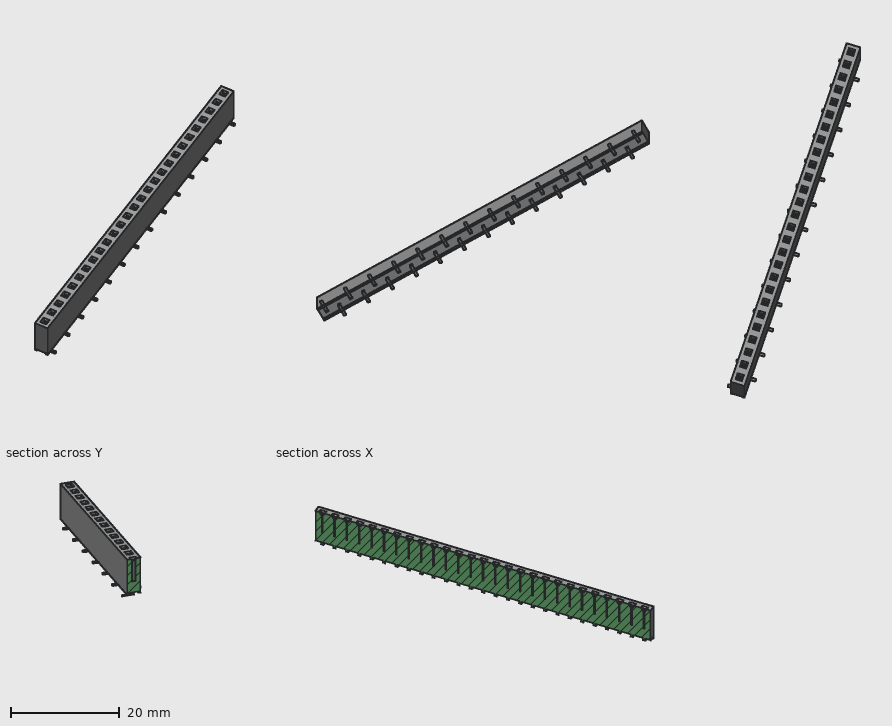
import cadquery as cq

pin_count = 27
row_length = 66.0

body_length = 68.8
body_width = 2.7
total_height = 7.4
standoff = 0.2
groove_width = 1.9
groove_depth = 0.3

entry_size = 1.25
bore_size = 0.6
bore_depth = 0.2
slit_width = 0.15
slit_depth = 4.1

lead_span = 4.6
lead_width = 0.515
lead_thickness = 0.2
tip_chamfer = 0.1
embed_depth = 0.35

pin_pitch = row_length / (pin_count - 1)
funnel_depth = (entry_size - bore_size) / 2
groove_top = standoff + groove_depth
pin_places = [i * pin_pitch - row_length / 2 for i in range(pin_count)]


def make_housing():
    """Plain bar with a groove along its whole underside."""
    bar = cq.Workplane("XY").box(
        body_width, body_length, total_height - standoff, centered=(True, True, False)
    )
    groove = cq.Workplane("XY").box(
        groove_width, body_length, groove_depth, centered=(True, True, False)
    )
    return bar.cut(groove).translate((0, 0, standoff))


def make_socket():
    """One blind socket at Y = 0: tapered entry, short square bore, contact slit along X."""
    funnel_bottom = total_height - funnel_depth
    bore_bottom = funnel_bottom - bore_depth
    funnel = (
        cq.Workplane("XY", origin=(0, 0, funnel_bottom))
        .rect(bore_size, bore_size)
        .workplane(offset=funnel_depth)
        .rect(entry_size, entry_size)
        .loft(ruled=True)
    )
    bore = cq.Workplane("XY", origin=(0, 0, bore_bottom)).rect(bore_size, bore_size).extrude(bore_depth)
    slit = cq.Workplane("XY", origin=(0, 0, bore_bottom)).rect(bore_size, slit_width).extrude(-slit_depth)
    return funnel.union(bore).union(slit)


def make_lead(y, side):
    """L-shaped strip: flat foot out to one side, riser up into the housing."""
    inner = -side * lead_thickness / 2
    riser_outer = side * lead_thickness / 2
    riser_top = groove_top + embed_depth
    tip = side * lead_span / 2
    lead = (
        cq.Workplane("XZ", origin=(0, y, 0))
        .polyline([
            (inner, 0),
            (tip, 0),
            (tip, lead_thickness),
            (riser_outer, lead_thickness),
            (riser_outer, riser_top),
            (inner, riser_top),
        ])
        .close()
        .extrude(lead_width / 2, both=True)
    )
    tip_face = ">X" if side > 0 else "<X"
    return lead.faces(tip_face).edges("|Z").chamfer(tip_chamfer)


socket = make_socket()
result = make_housing()
for index, place in enumerate(pin_places):
    lead_side = 1 if index % 2 == 0 else -1
    result = result.cut(socket.translate((0, place, 0)))
    result = result.union(make_lead(place, lead_side))